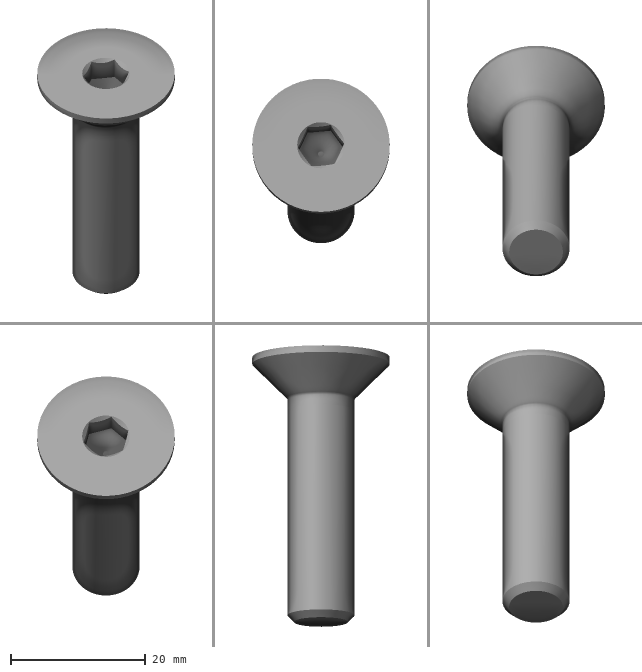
import cadquery as cq
import math

length = 40.0
shank_diameter = 10.0
head_diameter = 20.5
head_rim_height = 1.0
neck_height = 8.0
neck_fillet = 0.5
flank_angle = 45.0
tip_chamfer = 1.0

socket_flats = 6.0
socket_depth = 3.5
socket_mouth_diameter = 7.1
socket_mouth_slope = 45.0
floor_flat_diameter = 0.9
floor_cone_angle = 30.0

shank_radius = shank_diameter / 2
head_radius = head_diameter / 2
socket_corner_radius = socket_flats / math.sqrt(3)


def make_body():
    """Revolved countersunk head, neck, shank and chamfered tip."""
    rim_z = length - head_rim_height
    neck_z = rim_z - (head_radius - shank_radius) / math.tan(math.radians(flank_angle))
    fillet_reach = neck_fillet * math.tan(math.radians(flank_angle / 2))
    flank_out = fillet_reach * math.sin(math.radians(flank_angle))
    flank_rise = fillet_reach * math.cos(math.radians(flank_angle))
    arc_rise = neck_fillet * math.sin(math.radians(flank_angle / 2))
    arc_out = neck_fillet * (1 - math.cos(math.radians(flank_angle / 2)))
    arc_start_z = neck_z - fillet_reach
    return (
        cq.Workplane("XZ")
        .lineTo(shank_radius - tip_chamfer, 0)
        .lineTo(shank_radius, tip_chamfer)
        .lineTo(shank_radius, length - neck_height)
        .lineTo(shank_radius, arc_start_z)
        .threePointArc(
            (shank_radius + arc_out, arc_start_z + arc_rise),
            (shank_radius + flank_out, neck_z + flank_rise),
        )
        .lineTo(head_radius, rim_z)
        .lineTo(head_radius, length)
        .lineTo(0, length)
        .close()
        .revolve(360, (0, 0), (0, 1), clean=False)
    )


def make_socket():
    """Hexagon with a conical floor and a conical mouth chamfer."""
    floor_z = length - socket_depth
    hexagon = (
        cq.Workplane("XY", origin=(0, 0, floor_z))
        .polygon(6, 2 * socket_corner_radius)
        .extrude(socket_depth)
    )
    floor_flat_radius = floor_flat_diameter / 2
    floor_drop = (socket_corner_radius - floor_flat_radius) * math.tan(math.radians(floor_cone_angle))
    floor_cone = cq.Workplane("XY").add(
        cq.Solid.makeCone(
            floor_flat_radius, socket_corner_radius, floor_drop, pnt=cq.Vector(0, 0, floor_z - floor_drop)
        )
    )
    mouth_radius = socket_mouth_diameter / 2
    mouth_drop = mouth_radius * math.tan(math.radians(socket_mouth_slope))
    mouth_cone = cq.Workplane("XY").add(
        cq.Solid.makeCone(0, mouth_radius, mouth_drop, pnt=cq.Vector(0, 0, length - mouth_drop))
    )
    return hexagon, floor_cone, mouth_cone


result = make_body()
for cutter in make_socket():
    result = result.cut(cutter, clean=False)